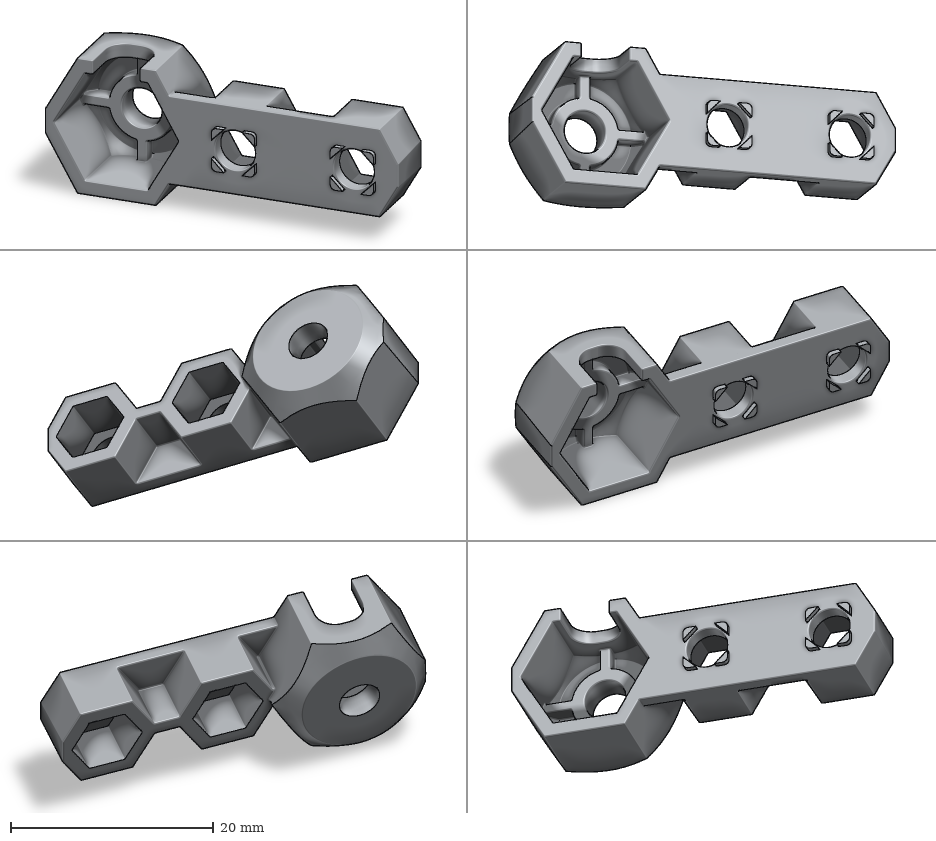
import cadquery as cq
import math

SIXTY = math.radians(60)
EDGE_ROUND = 0.2
TOTAL_LENGTH = 37.77
OVERSHOOT = 0.38
TOLERANCE = 0.005

HUB_APOTHEM = 7.25
HUB_CORNER = HUB_APOTHEM / math.sin(SIXTY)
HUB_DEPTH = 9.48
HUB_BACK_RADIUS = 6.0
HUB_FLAT_X = -7.63
FLAT_DRAFT = math.radians(1)

HOLE_PITCH = 12.7
HOLE_RADIUS = 2.1
ARM_HOLES = [HOLE_PITCH, 2 * HOLE_PITCH]
ARM_APOTHEM = 4.72
ARM_DEPTH = 6.3
ARM_START_X = HUB_CORNER - ARM_APOTHEM / math.tan(SIXTY)
ARM_END_X = HUB_FLAT_X + TOTAL_LENGTH
PLATE_THICKNESS = 1.45
WEB_WIDTH = 1.45

HUB_WALL = 1.5
POCKET_APOTHEM = HUB_APOTHEM - HUB_WALL
POCKET_CORNER = POCKET_APOTHEM / math.sin(SIXTY)
POCKET_DEPTH = 8.25
POCKET_FLOOR_RADIUS = 5.33
NUT_APOTHEM = ARM_APOTHEM - HUB_WALL

RIB_HEIGHT = 1.6
RIB_TOP = POCKET_DEPTH - RIB_HEIGHT
RIB_WIDTH = 1.05
RING_RADIUS = 3.5

SLOT_WIDTH = 5.0
SLOT_DEPTH = 5.45
SLOT_CORNER_RADIUS = 2.08

POST_HEIGHT = 0.55
POST_HALF_SPAN = 2.3
POST_LEG = 1.32
POST_CORNER_RADIUS = 0.53


def front_plane(y):
    """Sketch plane at depth y with local x along X and local y along Z."""
    return cq.Workplane("XZ", origin=(0, y, 0))


def prism(points, y_start, y_end):
    return front_plane(y_start).polyline(points).close().extrude(y_start - y_end)


def cylinder(x, radius, y_start, y_end):
    return front_plane(y_start).center(x, 0).circle(radius).extrude(y_start - y_end)


def bar(x_start, x_end, width, y_start, y_end):
    """Rectangular bar along X, centred on Z = 0."""
    middle = (x_start + x_end) / 2
    return front_plane(y_start).center(middle, 0).rect(x_end - x_start, width).extrude(y_start - y_end)


def hexagon(x, apothem):
    """Corners of a regular hexagon with flat sides at the top and bottom."""
    corner = apothem / math.sin(SIXTY)
    return [(x + corner * math.cos(i * SIXTY), corner * math.sin(i * SIXTY)) for i in range(6)]


def cone(back_radius, back_y):
    """45 degree cone along Y that narrows to back_radius at depth back_y."""
    profile = [(0, 0), (back_radius + back_y, 0), (back_radius, back_y), (0, back_y)]
    return cq.Workplane("XY").polyline(profile).close().revolve(360, (0, 0, 0), (0, 1, 0))


def corner_cutter(flat_x, side, depth):
    """Block that cuts off a hexagon corner; the drafted flat passes flat_x where the front rounding ends."""
    slope = side * math.tan(FLAT_DRAFT)
    front_x = flat_x + slope * EDGE_ROUND
    outside = flat_x + side * HUB_APOTHEM
    profile = [(front_x, 0), (outside, 0), (outside, depth), (front_x - slope * depth, depth)]
    return cq.Workplane("XY").polyline(profile).close().extrude(HUB_APOTHEM, both=True)


def round_edges(solid, chosen):
    """Round every edge whose centre satisfies the given test."""
    edges = [edge for edge in solid.edges().vals() if chosen(edge.Center())]
    return solid.newObject(edges).fillet(EDGE_ROUND)


def make_hub():
    hub = prism(hexagon(0, HUB_APOTHEM), 0, HUB_DEPTH).edges("|Y").fillet(EDGE_ROUND)
    hub = hub.intersect(cone(HUB_BACK_RADIUS, HUB_DEPTH))
    hub = hub.faces(">Y").edges().fillet(EDGE_ROUND)
    return hub.cut(corner_cutter(HUB_FLAT_X, -1, HUB_DEPTH))


def make_arm():
    last_x = ARM_HOLES[-1]
    arm = bar(0, last_x, 2 * ARM_APOTHEM, 0, PLATE_THICKNESS)
    arm = arm.union(bar(0, last_x, WEB_WIDTH, 0, ARM_DEPTH))
    for x in ARM_HOLES:
        arm = arm.union(prism(hexagon(x, ARM_APOTHEM), 0, ARM_DEPTH))
    return arm.cut(corner_cutter(ARM_END_X, 1, ARM_DEPTH))


def make_pocket():
    """Hexagonal hub pocket with a conical bottom, minus the ring and four ribs on its floor."""
    rib = bar(-HUB_APOTHEM, HUB_APOTHEM, RIB_WIDTH, RIB_TOP, HUB_DEPTH)
    ribs = cylinder(0, RING_RADIUS, RIB_TOP, HUB_DEPTH).union(rib)
    ribs = ribs.union(rib.rotate((0, 0, 0), (0, 1, 0), 90))
    pocket = prism(hexagon(0, POCKET_APOTHEM), 0, POCKET_DEPTH)
    pocket = pocket.intersect(cone(POCKET_FLOOR_RADIUS, POCKET_DEPTH)).cut(ribs)
    return pocket.edges("not(<Y)").fillet(EDGE_ROUND)


def make_slot():
    """Round-cornered opening through the top wall of the hub, open toward the front."""
    slot = cq.Workplane("XY").rect(SLOT_WIDTH, 2 * SLOT_DEPTH).extrude(HUB_APOTHEM)
    return slot.edges("|Z and >Y").fillet(SLOT_CORNER_RADIUS)


def make_nut_pocket(x):
    pocket = prism(hexagon(x, NUT_APOTHEM), PLATE_THICKNESS, ARM_DEPTH + OVERSHOOT)
    return pocket.edges("|Y").fillet(EDGE_ROUND)


def make_post(x, quarter):
    """Triangular post in one corner of the square around an arm hole."""
    near = POST_HALF_SPAN - POST_LEG
    far = POST_HALF_SPAN
    post = prism([(far, near), (far, far), (near, far)], -POST_HEIGHT, EDGE_ROUND)
    post = post.edges(cq.NearestToPointSelector((far, 0, far))).fillet(POST_CORNER_RADIUS)
    return post.rotate((0, 0, 0), (0, 1, 0), 90 * quarter).translate((x, 0, 0))


def is_front_outline(point):
    return point.y < TOLERANCE


def is_arm_edge(point):
    """True behind the front face on the arm, including where the arm meets the hub."""
    on_hub_corner = point.x < HUB_CORNER + TOLERANCE and abs(point.z) < EDGE_ROUND
    behind_front = TOLERANCE < point.y < ARM_DEPTH + TOLERANCE
    return behind_front and point.x > ARM_START_X - TOLERANCE and not on_hub_corner


def is_pocket_rim(point):
    return point.y < TOLERANCE and math.hypot(point.x, point.z) < POCKET_CORNER


def is_outer_slot_edge(point):
    in_slot = abs(point.x) < SLOT_WIDTH / 2 + TOLERANCE and TOLERANCE < point.y < SLOT_DEPTH + TOLERANCE
    return in_slot and point.z > HUB_APOTHEM - EDGE_ROUND


def is_bore_rim(point):
    """True for the front edge of an arm hole and for the edge of the hub hole on its ring."""
    on_hub_axis = abs(point.x) < TOLERANCE and abs(point.y - RIB_TOP) < TOLERANCE
    on_arm_front = any(math.hypot(point.x - x, point.y) < TOLERANCE for x in ARM_HOLES)
    return abs(point.z) < TOLERANCE and (on_hub_axis or on_arm_front)


body = make_hub().union(make_arm())
body = round_edges(body, lambda point: is_front_outline(point) or is_arm_edge(point))

body = body.cut(make_pocket()).cut(make_slot())
body = round_edges(body, is_pocket_rim)
body = round_edges(body, is_outer_slot_edge)

for hole_x in [0] + ARM_HOLES:
    body = body.cut(cylinder(hole_x, HOLE_RADIUS, -OVERSHOOT, HUB_DEPTH + OVERSHOOT))
body = round_edges(body, is_bore_rim)

for hole_x in ARM_HOLES:
    body = body.cut(make_nut_pocket(hole_x))
    for quarter in range(4):
        body = body.union(make_post(hole_x, quarter))

result = body